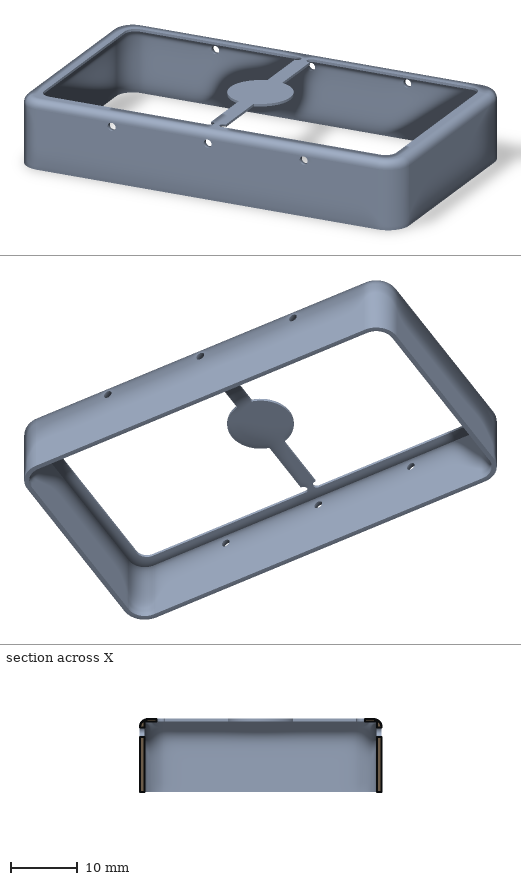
import cadquery as cq
length = 63.8
width = 36.3
height = 11.0
corner_radius = 3.5
top_edge_radius = 1.3

wall_thickness = 0.75
cavity_corner_radius = corner_radius - wall_thickness
lip_width = 2.55
lip_corner_radius = 1.8
lip_thickness = 0.4

disc_diameter = 10.0
bar_width = 2.5
neck_width = 1.0
notch_height = 1.25

hole_diameter = 1.3
hole_spacing = 16.0
hole_count = 3
hole_height = 9.0

opening_length = length - 2 * lip_width
opening_width = width - 2 * lip_width
lip_bottom = height - lip_thickness


def rounded_block(size_x, size_y, bottom, top, radius):
    """Centred rectangular block with rounded vertical edges."""
    block = cq.Workplane("XY").workplane(offset=bottom).rect(size_x, size_y).extrude(top - bottom)
    return block.edges("|Z").fillet(radius)


def make_frame():
    """Hollow frame with a rounded top edge and an overhanging lip."""
    body = rounded_block(length, width, 0, height, corner_radius)
    body = body.faces(">Z").edges().fillet(top_edge_radius)
    cavity = rounded_block(
        length - 2 * wall_thickness,
        width - 2 * wall_thickness,
        0,
        lip_bottom,
        cavity_corner_radius,
    )
    opening = rounded_block(opening_length, opening_width, 0, height, lip_corner_radius)
    return body.cut(cavity).cut(opening)


def make_notch(side_x, side_y):
    """Round-ended slot that narrows one side of the bar next to the lip."""
    end_radius = notch_height / 2
    end_x = side_x * (neck_width / 2 + end_radius)
    outer_x = side_x * bar_width
    y_center = side_y * (opening_width / 2 - end_radius)
    plane = cq.Workplane("XY", origin=(0, y_center, lip_bottom))
    round_end = plane.center(end_x, 0).circle(end_radius).extrude(lip_thickness)
    straight_length = abs(outer_x - end_x)
    straight = plane.center((outer_x + end_x) / 2, 0).rect(straight_length, notch_height)
    straight = straight.extrude(lip_thickness)
    return round_end.union(straight)


def make_cross_bar():
    """Thin bar across the opening, flush with the top, with a disc at its middle."""
    plane = cq.Workplane("XY").workplane(offset=lip_bottom)
    bar = plane.rect(bar_width, opening_width + lip_width).extrude(lip_thickness)
    bar = bar.union(plane.circle(disc_diameter / 2).extrude(lip_thickness))
    for side_x in (-1, 1):
        for side_y in (-1, 1):
            bar = bar.cut(make_notch(side_x, side_y))
    return bar


def make_wall_holes():
    """Row of holes running along Y through both long walls."""
    return (
        cq.Workplane("XZ")
        .center(0, hole_height)
        .rarray(hole_spacing, 1, hole_count, 1)
        .circle(hole_diameter / 2)
        .extrude(width / 2, both=True)
    )


result = make_frame().union(make_cross_bar()).cut(make_wall_holes())